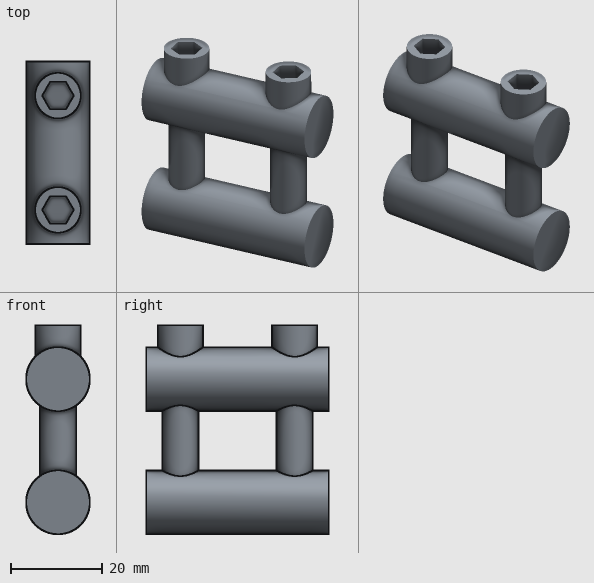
import cadquery as cq
import math

total_height = 45.8
bar_diameter = 14.0
bar_length = 40.0
bar_spacing = 26.98
screw_spacing = 25.0
shank_diameter = 8.0
head_diameter = 10.0
socket_across_flats = 6.0
socket_depth = 4.0

lower_bar_z = bar_diameter / 2
upper_bar_z = lower_bar_z + bar_spacing
socket_across_corners = socket_across_flats / math.cos(math.pi / 6)


def bar(axis_z):
    """Solid round bar along Y, centred on the origin in X and Y."""
    profile = cq.Workplane("XZ").center(0, axis_z).circle(bar_diameter / 2)
    return profile.extrude(bar_length / 2, both=True)


def vertical_cylinder(y, diameter, bottom_z, top_z):
    base = cq.Workplane("XY", origin=(0, y, bottom_z))
    return base.circle(diameter / 2).extrude(top_z - bottom_z)


def hex_socket(y):
    """Hexagonal pocket with two corners on the X direction."""
    mouth = cq.Workplane("XY", origin=(0, y, total_height))
    return mouth.polygon(6, socket_across_corners).extrude(-socket_depth)


result = bar(lower_bar_z).union(bar(upper_bar_z))

for screw_y in (-screw_spacing / 2, screw_spacing / 2):
    shank = vertical_cylinder(screw_y, shank_diameter, lower_bar_z, upper_bar_z)
    head = vertical_cylinder(screw_y, head_diameter, upper_bar_z, total_height)
    result = result.union(shank).union(head).cut(hex_socket(screw_y))